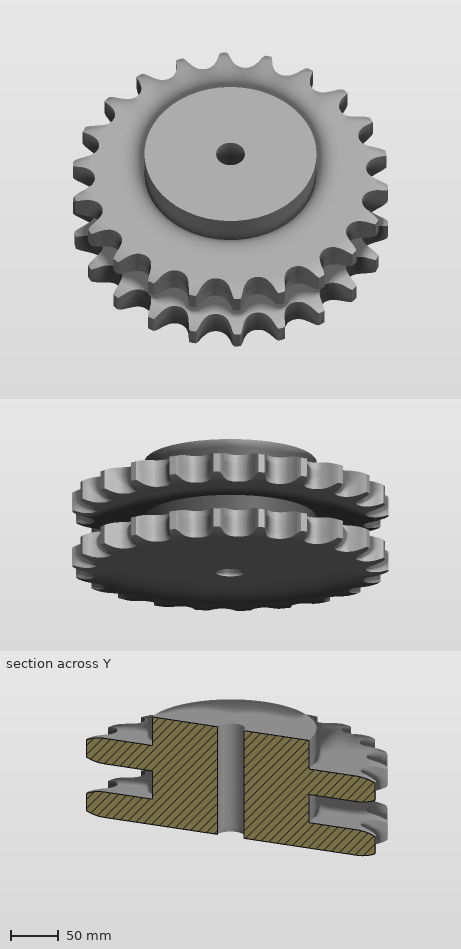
import cadquery as cq
import math


TEETH = 22
OUTSIDE_DIAMETER = 331.0
CHAIN_PITCH = 44.45
ROLLER_DIAMETER = 27.95
SEAT_RADIUS = 14.1
DISC_THICKNESS = 28.8
STRAND_SPACING = 59.5
HUB_DIAMETER = 180.0
HUB_HEIGHT = 120.0
BORE_DIAMETER = 30.0
FLAT_FACE_RADIUS = 145.0
TIP_RELIEF = 4.5
BLANK_MARGIN = 6.5

OUTSIDE_RADIUS = OUTSIDE_DIAMETER / 2
TOOTH_ANGLE = 360.0 / TEETH
PITCH_RADIUS = CHAIN_PITCH / 2 / math.sin(math.pi / TEETH)

SEAT_ANGLE = math.radians(35 + 60 / TEETH)
WORKING_SWEEP = math.radians(18 - 56 / TEETH)
TOPPING_ANGLE = math.radians(17 - 64 / TEETH)
WORKING_RADIUS = SEAT_RADIUS + 0.8 * ROLLER_DIAMETER
FLANK_LENGTH = ROLLER_DIAMETER * (1.4 * math.sin(TOPPING_ANGLE) - 0.8 * math.sin(WORKING_SWEEP))
TOPPING_RADIUS = (
    ROLLER_DIAMETER * (0.8 * math.cos(WORKING_SWEEP) + 1.4 * math.cos(TOPPING_ANGLE)) - WORKING_RADIUS
)


def polar_step(origin, length, angle):
    """Point at a given distance and direction (radians) from origin."""
    return (origin[0] + length * math.cos(angle), origin[1] + length * math.sin(angle))


def mirrored(point):
    """Same point on the opposite flank; the gap is symmetric about the X axis."""
    return (point[0], -point[1])


def tooth_gap():
    """Cutter for one tooth gap, centred on the X axis."""
    seat_center = (PITCH_RADIUS, 0)
    seat_normal = math.pi / 2 + SEAT_ANGLE
    flank_normal = seat_normal - WORKING_SWEEP
    flank_direction = flank_normal - math.pi / 2

    seat_bottom = (PITCH_RADIUS - SEAT_RADIUS, 0)
    seat_end = polar_step(seat_center, SEAT_RADIUS, seat_normal)
    working_center = polar_step(seat_end, -WORKING_RADIUS, seat_normal)
    working_middle = polar_step(working_center, WORKING_RADIUS, seat_normal - WORKING_SWEEP / 2)
    working_end = polar_step(working_center, WORKING_RADIUS, flank_normal)
    flank_end = polar_step(working_end, FLANK_LENGTH, flank_direction)

    topping_center = polar_step(flank_end, TOPPING_RADIUS, flank_normal)
    topping_sweep = BLANK_MARGIN / TOPPING_RADIUS
    topping_middle = polar_step(topping_center, -TOPPING_RADIUS, flank_normal + topping_sweep / 2)
    topping_end = polar_step(topping_center, -TOPPING_RADIUS, flank_normal + topping_sweep)
    outer_corner = (OUTSIDE_RADIUS + BLANK_MARGIN, topping_end[1])

    return (
        cq.Workplane("XY")
        .moveTo(*mirrored(seat_end))
        .threePointArc(seat_bottom, seat_end)
        .threePointArc(working_middle, working_end)
        .lineTo(*flank_end)
        .threePointArc(topping_middle, topping_end)
        .lineTo(*outer_corner)
        .lineTo(*mirrored(outer_corner))
        .lineTo(*mirrored(topping_end))
        .threePointArc(mirrored(topping_middle), mirrored(flank_end))
        .lineTo(*mirrored(working_end))
        .threePointArc(mirrored(working_middle), mirrored(seat_end))
        .close()
        .extrude(DISC_THICKNESS)
    )


def disc_blank():
    """Round disc whose faces curve in towards the rim, tangent to the flat face."""
    relief_width = OUTSIDE_RADIUS - FLAT_FACE_RADIUS
    rim_top = DISC_THICKNESS - TIP_RELIEF
    relief_radius = (relief_width**2 + TIP_RELIEF**2) / (2 * TIP_RELIEF)
    half_sweep = math.asin(relief_width / relief_radius) / 2
    middle_radius = FLAT_FACE_RADIUS + relief_radius * math.sin(half_sweep)
    middle_drop = relief_radius * (1 - math.cos(half_sweep))

    return (
        cq.Workplane("XZ")
        .lineTo(FLAT_FACE_RADIUS, 0)
        .threePointArc((middle_radius, middle_drop), (OUTSIDE_RADIUS, TIP_RELIEF))
        .lineTo(OUTSIDE_RADIUS, rim_top)
        .threePointArc((middle_radius, DISC_THICKNESS - middle_drop), (FLAT_FACE_RADIUS, DISC_THICKNESS))
        .lineTo(0, DISC_THICKNESS)
        .close()
        .revolve(360, (0, 0), (0, 1))
    )


def toothed_disc():
    """One sprocket strand, with a tooth centred on the X axis."""
    disc = disc_blank()
    gap = tooth_gap()
    for index in range(TEETH):
        disc = disc.cut(gap.rotate((0, 0, 0), (0, 0, 1), (index + 0.5) * TOOTH_ANGLE))
    return disc


strand = toothed_disc()
hub = cq.Workplane("XY").circle(HUB_DIAMETER / 2).extrude(HUB_HEIGHT)
bore = cq.Workplane("XY").circle(BORE_DIAMETER / 2).extrude(HUB_HEIGHT)

result = hub.union(strand).union(strand.translate((0, 0, STRAND_SPACING))).cut(bore)